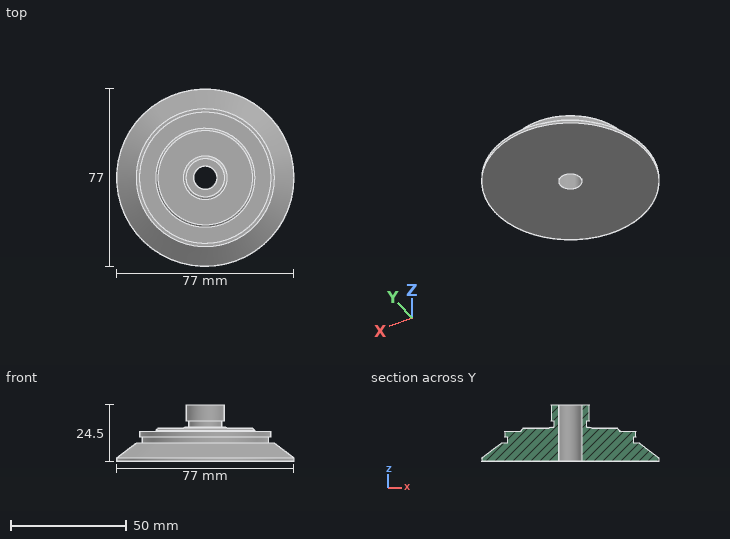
import cadquery as cq

lip_diameter = 77.0
cone_top_diameter = 59.9
groove_diameter = 55.0
flange_diameter = 57.0
disc_diameter = 43.0
collar_diameter = 20.0
neck_diameter = 14.5
head_diameter = 16.6
bore_diameter = 10.0

lip_top = 1.55
cone_top = 8.0
groove_top = 10.55
flange_top = 13.0
disc_top = 14.5
collar_top = 14.9
neck_top = 17.5
head_top = 24.5

disc_chamfer = 1.0
collar_rounding = (collar_diameter - head_diameter) / 2


def cylinder(diameter, bottom, top):
    """Upright cylinder on the Z axis between two heights."""
    return cq.Workplane("XY").workplane(offset=bottom).circle(diameter / 2).extrude(top - bottom)


lip = cylinder(lip_diameter, 0, lip_top)
skirt = (
    cq.Workplane("XZ")
    .moveTo(0, lip_top)
    .lineTo(lip_diameter / 2, lip_top)
    .lineTo(cone_top_diameter / 2, cone_top)
    .lineTo(0, cone_top)
    .close()
    .revolve(360, (0, 0, 0), (0, 1, 0))
)

groove = cylinder(groove_diameter, cone_top, groove_top)
flange = cylinder(flange_diameter, groove_top, flange_top)
disc = cylinder(disc_diameter, flange_top, disc_top).faces(">Z").edges().chamfer(disc_chamfer)
collar = cylinder(collar_diameter, flange_top, collar_top).faces(">Z").edges().fillet(collar_rounding)

neck = cylinder(neck_diameter, collar_top, neck_top)
head = cylinder(head_diameter, neck_top, head_top)

result = lip
for section in (skirt, groove, flange, disc, collar, neck, head):
    result = result.union(section)

result = result.cut(cylinder(bore_diameter, 0, head_top))